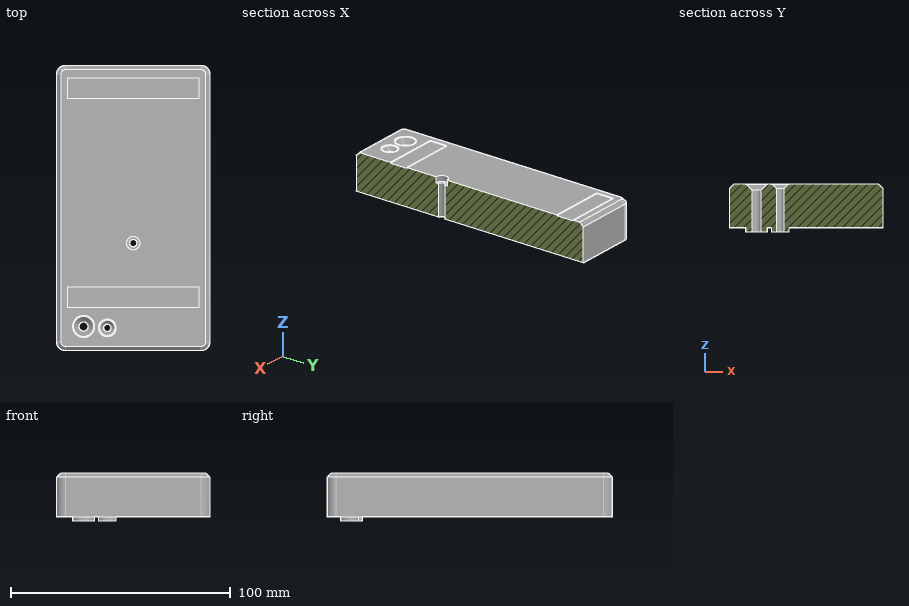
import cadquery as cq

width = 70.0
length = 130.0
total_height = 22.0
foot_height = 2.0
body_height = total_height - foot_height
corner_radius = 4.0
top_chamfer = 2.0

recess_width = 59.9
recess_length = 9.4
recess_depth = 0.4
rear_recess_margin = 5.7
front_recess_margin = 19.8

bore_from_front = 49.0
bore_diameter = 3.2
counterbore_diameter = 6.1
counterbore_depth = 3.0

sink_step_depth = 0.3
large_foot_position = (12.4, 11.0)
large_foot_diameter = 10.0
large_sink_diameter = 9.2
large_hole_diameter = 4.0
small_foot_position = (23.1, 10.4)
small_foot_diameter = 8.0
small_sink_diameter = 7.0
small_hole_diameter = 3.2

left = -width / 2
front = -length / 2


def make_body():
    block = cq.Workplane("XY").box(width, length, body_height, centered=(True, True, False))
    return block.edges("|Z").fillet(corner_radius).faces(">Z").chamfer(top_chamfer)


def cut_recess(body, center_y):
    recess = (
        cq.Workplane("XY", origin=(0, center_y, body_height))
        .rect(recess_width, recess_length)
        .extrude(-recess_depth)
    )
    return body.cut(recess)


def cut_counterbored_hole(body):
    return (
        body.faces(">Z")
        .workplane(origin=(0, front + bore_from_front, body_height))
        .cboreHole(bore_diameter, counterbore_diameter, counterbore_depth)
    )


def add_countersunk_foot(body, position, foot_diameter, sink_diameter, hole_diameter):
    x = left + position[0]
    y = front + position[1]
    foot_radius = foot_diameter / 2
    sink_radius = sink_diameter / 2
    hole_radius = hole_diameter / 2
    sink_top = body_height - sink_step_depth
    sink_depth = sink_radius - hole_radius

    foot = cq.Workplane("XY", origin=(x, y, 0)).circle(foot_radius).extrude(-foot_height)
    hole = (
        cq.Workplane("XZ", origin=(x, y, 0))
        .moveTo(0, -foot_height)
        .lineTo(hole_radius, -foot_height)
        .lineTo(hole_radius, sink_top - sink_depth)
        .lineTo(sink_radius, sink_top)
        .lineTo(foot_radius, sink_top)
        .lineTo(foot_radius, body_height)
        .lineTo(0, body_height)
        .close()
        .revolve(360, (0, 0), (0, 1))
    )
    return body.union(foot).cut(hole)


result = make_body()
result = cut_recess(result, length / 2 - rear_recess_margin - recess_length / 2)
result = cut_recess(result, front + front_recess_margin + recess_length / 2)
result = cut_counterbored_hole(result)
result = add_countersunk_foot(
    result, large_foot_position, large_foot_diameter, large_sink_diameter, large_hole_diameter
)
result = add_countersunk_foot(
    result, small_foot_position, small_foot_diameter, small_sink_diameter, small_hole_diameter
)